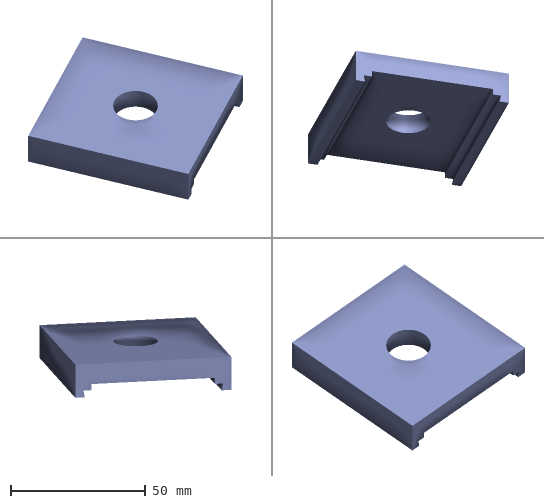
import cadquery as cq

length = 63.5
width = 59.45
height = 12.7

hole_diameter = 16.65

ledge_width = 6.2
channel_roof_height = 4.95
ledge_height = 2.6
foot_top_width = 3.1
foot_bottom_width = 3.6

half_width = width / 2
bottom = -height / 2
top = height / 2
ledge_z = bottom + ledge_height
roof_z = bottom + channel_roof_height

half_profile = [
    (half_width, top),
    (half_width, bottom),
    (half_width - foot_bottom_width, bottom),
    (half_width - foot_top_width, ledge_z),
    (half_width - ledge_width, ledge_z),
    (half_width - ledge_width, roof_z),
]
mirrored_profile = [(-y, z) for y, z in reversed(half_profile)]

body = (
    cq.Workplane("YZ", origin=(-length / 2, 0, 0))
    .polyline(half_profile + mirrored_profile)
    .close()
    .extrude(length)
)

hole = cq.Workplane("XY", origin=(0, 0, bottom)).circle(hole_diameter / 2).extrude(height)

result = body.cut(hole)